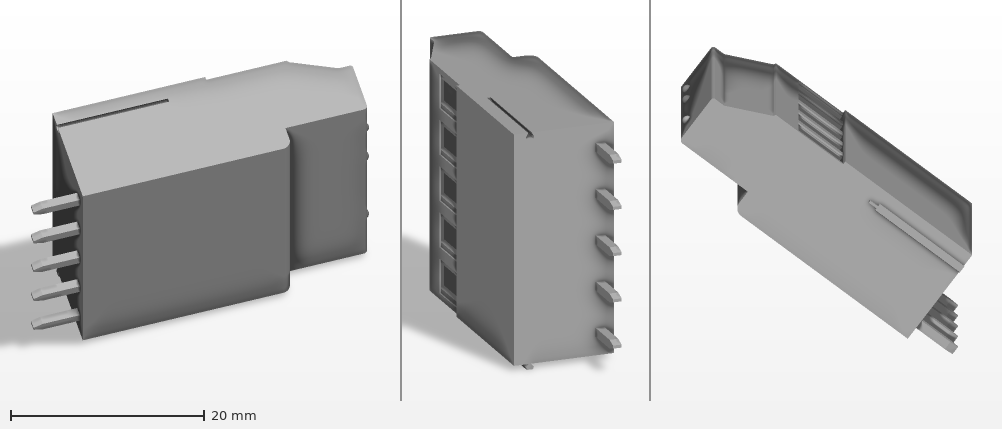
import cadquery as cq

overall_height = 26.0
pole_count = 5
housing_height = 25.4
pole_pitch = housing_height / pole_count
housing_width = 11.1
housing_length = 31.52
step_depth = 0.37
step_y = 16.45
slope_start_y = 25.15
slope_lip_width = 0.25
slope_lip_length = 0.2
head_left_x = 2.8
slope_end_y = 30.05
head_right_x = 8.62
shoulder_y = 22.6
shoulder_radius = 1.0
head_left_radius = 0.3
head_right_radius = 0.45

recess_end_y = 22.27
recess_height = 3.8
recess_depth = 0.2
window_height = 2.8
window_depth = 0.8
window_undercut = 0.75

pin_size = 0.95
pin_length = 5.0
pin_root_y = 1.1
pin_center_x = 9.55
pin_taper_length = 1.0
pin_tip_height = 0.35

rail_center_x = 1.78
rail_length = 12.0
rail_head_length = 11.0
rail_depth = overall_height - housing_height
rail_neck_width = 0.25
rail_widest_width = 0.85
rail_widest_depth = 0.37
rail_foot_width = 0.7
groove_depth = 0.7
groove_mouth_width = 0.4
groove_widest_width = 0.92
groove_widest_depth = 0.5
groove_floor_width = 0.8

bump_height = 0.48
bump_radius = 0.5
bump_center_x = 7.25
bump_gaps = (1, 3, 4)


def pole_center_z(index):
    return (index + 0.5) * pole_pitch


def make_box(x_min, x_max, y_min, y_max, z_min, z_max):
    size = (x_max - x_min, y_max - y_min, z_max - z_min)
    return cq.Workplane("XY").box(*size, centered=False).translate((x_min, y_min, z_min))


def make_housing():
    lip_x = step_depth + slope_lip_width
    lip_y = slope_start_y + slope_lip_length
    outline = [
        (0, 0),
        (housing_width, 0),
        (housing_width, shoulder_y),
        (head_right_x, shoulder_y),
        (head_right_x, housing_length),
        (head_left_x, housing_length),
        (head_left_x, slope_end_y),
        (lip_x, lip_y),
        (step_depth, slope_start_y),
        (step_depth, step_y),
        (0, step_y),
    ]
    housing = cq.Workplane("XY").polyline(outline).close().extrude(housing_height)
    rounded_corners = [
        (housing_width, shoulder_y, shoulder_radius),
        (head_right_x, housing_length, head_right_radius),
        (head_left_x, housing_length, head_left_radius),
    ]
    for x, y, radius in rounded_corners:
        corner = cq.selectors.NearestToPointSelector((x, y, housing_height / 2))
        housing = housing.edges("|Z").edges(corner).fillet(radius)
    return housing


def make_recess(center_z):
    """Shallow recess with a deeper window centred in it, undercut at its +Y end."""

    def pocket(height, x_min, depth, y_max):
        z_min = center_z - height / 2
        return make_box(x_min, step_depth + depth, step_y, y_max, z_min, z_min + height)

    recess = pocket(recess_height, 0, recess_depth, recess_end_y)
    window_top_x = step_depth + recess_depth
    window = pocket(window_height, window_top_x, window_depth, recess_end_y + window_undercut)
    return recess.union(window)


def make_pin(center_z):
    """Square pin along -Y, tapered on its +Z and -Z faces at the tip."""
    taper_y = pin_taper_length - pin_length
    half_size = pin_size / 2
    half_tip = pin_tip_height / 2
    side_profile = [
        (pin_root_y, -half_size),
        (taper_y, -half_size),
        (-pin_length, -half_tip),
        (-pin_length, half_tip),
        (taper_y, half_size),
        (pin_root_y, half_size),
    ]
    pin = cq.Workplane("YZ").polyline(side_profile).close().extrude(half_size, both=True)
    return pin.translate((pin_center_x, 0, center_z))


def make_dovetail(top_z, mouth_width, widest_width, widest_depth, floor_width, depth, length):
    """Dovetail bar from the -Y end, widening downward from top_z, then narrowing a little."""
    right_side = [
        (mouth_width / 2, 0),
        (widest_width / 2, -widest_depth),
        (floor_width / 2, -depth),
    ]
    left_side = [(-x, z) for x, z in reversed(right_side)]
    bar = cq.Workplane("XZ").polyline(right_side + left_side).close().extrude(-length)
    return bar.translate((rail_center_x, 0, top_z))


def make_rail():
    """Dovetail head followed by a plain web of the neck's width."""
    head = make_dovetail(
        0, rail_neck_width, rail_widest_width, rail_widest_depth,
        rail_foot_width, rail_depth, rail_head_length,
    )
    half_neck = rail_neck_width / 2
    web = make_box(
        rail_center_x - half_neck, rail_center_x + half_neck, 0, rail_length, -rail_depth, 0
    )
    return head.union(web)


def make_bump(center_z):
    """Rounded bump: a spherical cap on the +Y end."""
    cap_center_y = housing_length + bump_height - bump_radius
    return cq.Workplane("XY").sphere(bump_radius).translate((bump_center_x, cap_center_y, center_z))


result = make_housing()

groove = make_dovetail(
    housing_height, groove_mouth_width, groove_widest_width, groove_widest_depth,
    groove_floor_width, groove_depth, rail_length,
)
result = result.cut(groove).union(make_rail())

for pole in range(pole_count):
    result = result.cut(make_recess(pole_center_z(pole)))
    result = result.union(make_pin(pole_center_z(pole)))

for gap in bump_gaps:
    result = result.union(make_bump(gap * pole_pitch))